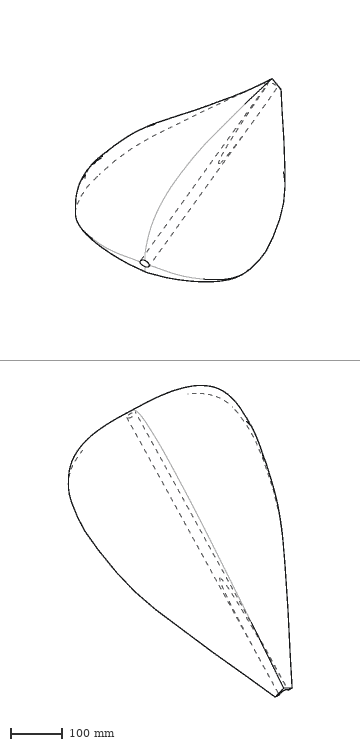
import cadquery as cq
import math

LENGTH = 600.0
HEIGHT = 251.5
SEAM_SLOPE = 0.25
BORE_DIAMETER = 20.0
LOWER_FULLNESS = 1.5
QUARTER_STEPS = 10

TAIL_Y = LENGTH / 2
TAIL_BELLY = 0.5
TAIL_SEAM_Z = TAIL_BELLY - HEIGHT / 2

STATIONS = [
    (TAIL_Y, 19.0, 25.0, TAIL_BELLY, 1.0),
    (276.0, 30.5, 32.5, 1.0, 1.1),
    (228.0, 55.0, 48.5, 3.0, 1.3),
    (156.0, 91.0, 69.5, 5.5, 1.7),
    (84.0, 126.0, 89.0, 8.5, 2.2),
    (12.0, 157.0, 108.5, 12.5, 2.7),
    (-60.0, 177.5, 123.0, 21.0, 3.0),
    (-132.0, 189.5, 129.5, 38.5, 3.4),
    (-186.0, 189.5, 128.5, 54.5, 3.8),
    (-224.0, 182.5, 119.5, 61.0, 4.0),
    (-260.5, 158.5, 99.0, 57.5, 4.0),
    (-278.5, 131.0, 78.0, 49.0, 3.8),
    (-294.0, 87.5, 44.5, 32.5, 3.4),
    (-299.0, 44.5, 22.0, 16.0, 2.8),
    (-LENGTH / 2, 9.0, 8.0, 7.0, 2.0),
]


def seam_z(y):
    """Height of the seam plane at a position along the tank."""
    return TAIL_SEAM_Z + SEAM_SLOPE * (TAIL_Y - y)


def quarter_curve(y, width, height, fullness):
    """Superellipse quarter from the seam edge to the center plane; signs pick the quadrant."""
    points = []
    for step in range(QUARTER_STEPS):
        angle = math.pi / 2 * step / QUARTER_STEPS
        across = width * math.cos(angle) ** (2 / fullness)
        rise = height * math.sin(angle) ** (2 / fullness)
        points.append(cq.Vector(across, y, seam_z(y) + rise))
    points.append(cq.Vector(0, y, seam_z(y) + height))
    return points


def section_wire(y, half_width, crown, belly, fullness):
    """Closed section with corners at both seam edges and on the center plane."""
    quarters = [
        quarter_curve(y, half_width, crown, fullness),
        quarter_curve(y, -half_width, crown, fullness)[::-1],
        quarter_curve(y, -half_width, -belly, LOWER_FULLNESS),
        quarter_curve(y, half_width, -belly, LOWER_FULLNESS)[::-1],
    ]
    return cq.Wire.assembleEdges([cq.Edge.makeSpline(points) for points in quarters])


def tank_body():
    """Smooth skin through all cross sections."""
    return cq.Workplane(cq.Solid.makeLoft([section_wire(*station) for station in STATIONS]))


def seam_bore():
    """Round channel along the seam plane, opening as a groove under the tail."""
    start_y = -LENGTH
    direction = cq.Vector(0, 1, -SEAM_SLOPE)
    start = cq.Vector(0, start_y, seam_z(start_y))
    return cq.Solid.makeCylinder(BORE_DIAMETER / 2, 2 * LENGTH, start, direction)


result = tank_body().cut(cq.Workplane(seam_bore()))